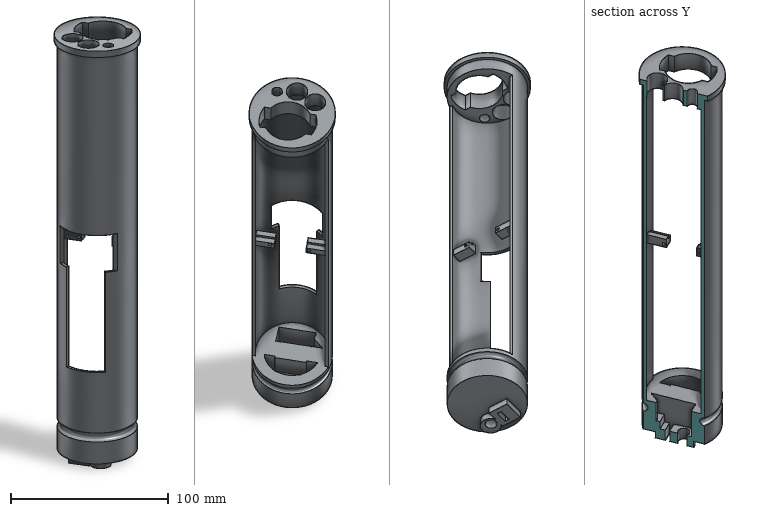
import cadquery as cq
import math

total_height = 290.7
boss_height = 5.0
groove_bottom = 20.0
groove_top = 26.2
groove_root_radius = 23.0
base_top = 29.5
head_bottom = 278.0
flange_bottom = 286.5

flange_diameter = 54.7
tube_diameter = 51.0
bore_diameter = 46.8
tube_radius = tube_diameter / 2
bore_radius = bore_diameter / 2
open_side_y = 6.7

window_bottom = 68.0
window_step = 137.0
window_top = 162.5
upper_window_y = -16.5
lower_window_half_width = 13.0

tabs = [(-10.0, 147.5, -11.5), (10.8, 146.8, 13.5)]
tab_height = 6.7
tab_front_y = -2.3
tab_step_y = 1.2
tab_back_y = 4.7
tab_step_depth = 1.7
tab_hole_diameter = 2.0
tab_hole_z = 149.7

opening_x = 1.5
opening_y = 6.7
opening_radius = 14.8
lobe_radius = 18.3
lobe_height = 15.7
head_holes = [(-12.8, -10.8, 13.0), (0.0, -17.0, 13.5), (12.5, -14.5, 6.7)]

recess_diameter = 35.5
recess_front_y = 4.7
rest_half_width = 10.2
rest_back_y = 5.8
recess_floor = 14.5
pocket_half_width = 12.0
pocket_front_y = -18.0
pocket_back_y = -7.0
pocket_floor = 14.5
corner_left_x = -18.3
corner_front_y = -12.8
well_left_x = -9.3
well_floor = 8.7

block_left_x = -12.8
block_right_x = 1.2
block_back_y = -3.5
button_diameter = 13.0
button_x = 7.0
button_y = -13.5
button_hole_diameter = 7.5
button_hole_x = 5.8
button_hole_y = -12.2
slot_left_x = -5.8
slot_right_x = -3.0
slot_front_y = -15.5


def box(x_range, y_range, z_range):
    """Box given by its (low, high) limits along each axis."""
    size = [high - low for low, high in (x_range, y_range, z_range)]
    corner = (x_range[0], y_range[0], z_range[0])
    return cq.Workplane("XY").box(*size, centered=False).translate(corner)


def cylinder(x, y, diameter, bottom, top):
    """Upright cylinder between two heights."""
    return cq.Workplane("XY", origin=(x, y, bottom)).circle(diameter / 2).extrude(top - bottom)


def body():
    """Revolved outside: flanged cylinder with a round-bottomed groove near its foot."""
    flange_radius = flange_diameter / 2
    groove_middle = (groove_bottom + groove_top) / 2
    return (
        cq.Workplane("XZ")
        .moveTo(0, boss_height)
        .lineTo(tube_radius, boss_height)
        .lineTo(tube_radius, groove_bottom)
        .threePointArc((groove_root_radius, groove_middle), (tube_radius, groove_top))
        .lineTo(tube_radius, flange_bottom)
        .lineTo(flange_radius, flange_bottom)
        .lineTo(flange_radius, total_height)
        .lineTo(0, total_height)
        .close()
        .revolve(360, (0, 0, 0), (0, 1, 0))
    )


def tube_cuts():
    """Bore between base and head, together with the open back."""
    bore = cylinder(0, 0, bore_diameter, base_top, head_bottom)
    open_back = box(
        (-flange_diameter, flange_diameter), (open_side_y, flange_diameter), (base_top, head_bottom)
    )
    return bore.union(open_back)


def window():
    """Wide flat-cut window above a narrower one with radial sides."""
    upper = box(
        (-tube_diameter, tube_diameter), (-tube_diameter, upper_window_y), (window_step, window_top)
    )
    lower_edge_y = -math.sqrt(tube_radius**2 - lower_window_half_width**2)
    reach = 2
    wedge_x = reach * lower_window_half_width
    wedge_y = reach * lower_edge_y
    lower = (
        cq.Workplane("XY", origin=(0, 0, window_bottom))
        .polyline([(0, 0), (-wedge_x, wedge_y), (wedge_x, wedge_y)])
        .close()
        .extrude(window_step - window_bottom)
    )
    return upper.union(lower)


def tab(inner_x, bottom, hole_x):
    """Stepped, drilled tab reaching inwards from the tube wall."""
    wall_x = math.copysign((tube_radius + bore_radius) / 2, inner_x)
    x_range = tuple(sorted((inner_x, wall_x)))
    top = bottom + tab_height
    front = box(x_range, (tab_front_y, tab_step_y), (bottom, top))
    back = box(x_range, (tab_step_y, tab_back_y), (bottom, top - tab_step_depth))
    hole = (
        cq.Workplane("XZ", origin=(hole_x, tab_back_y, tab_hole_z))
        .circle(tab_hole_diameter / 2)
        .extrude(tab_back_y - tab_front_y)
    )
    return front.union(back).cut(hole)


def head_openings():
    """Round main opening with two side lobes, and three round holes."""
    main = cylinder(opening_x, opening_y, 2 * opening_radius, head_bottom, total_height)
    lobe_band = box(
        (-tube_radius, tube_radius),
        (opening_y - lobe_height / 2, opening_y + lobe_height / 2),
        (head_bottom, total_height),
    )
    lobes = cylinder(opening_x, opening_y, 2 * lobe_radius, head_bottom, total_height)
    openings = main.union(lobes.intersect(lobe_band))
    for x, y, diameter in head_holes:
        openings = openings.union(cylinder(x, y, diameter, head_bottom, total_height))
    return openings


def base_recesses():
    """Segment-shaped recess at the back, stepped pocket with a slanted corner at the front."""
    recess = cylinder(0, 0, recess_diameter, recess_floor, base_top)
    recess = recess.intersect(
        box((-tube_radius, tube_radius), (recess_front_y, tube_radius), (recess_floor, base_top))
    )
    rest = box(
        (-rest_half_width, rest_half_width), (recess_front_y, rest_back_y), (recess_floor, base_top)
    )
    pocket_y = (pocket_front_y, pocket_back_y)
    pocket = box((-pocket_half_width, pocket_half_width), pocket_y, (pocket_floor, base_top))
    well = box((well_left_x, pocket_half_width), pocket_y, (well_floor, pocket_floor))
    corner = (
        cq.Workplane("XY", origin=(0, 0, pocket_floor))
        .moveTo(corner_left_x, pocket_back_y)
        .lineTo(-pocket_half_width, pocket_back_y)
        .lineTo(-pocket_half_width, corner_front_y)
        .close()
        .extrude(base_top - pocket_floor)
    )
    return recess.cut(rest).union(pocket).union(well).union(corner)


def bosses():
    """Rectangular block and round button under the base."""
    block = box((block_left_x, block_right_x), (pocket_front_y, block_back_y), (0, boss_height))
    return block.union(cylinder(button_x, button_y, button_diameter, 0, boss_height))


def boss_openings():
    """Slot and round hole from the pocket floor down through the bosses."""
    slot = box((slot_left_x, slot_right_x), (slot_front_y, pocket_back_y), (0, well_floor))
    return slot.union(cylinder(button_hole_x, button_hole_y, button_hole_diameter, 0, well_floor))


result = body().cut(tube_cuts()).cut(window()).cut(head_openings())
result = result.cut(base_recesses()).union(bosses()).cut(boss_openings())
for inner_x, bottom, hole_x in tabs:
    result = result.union(tab(inner_x, bottom, hole_x))